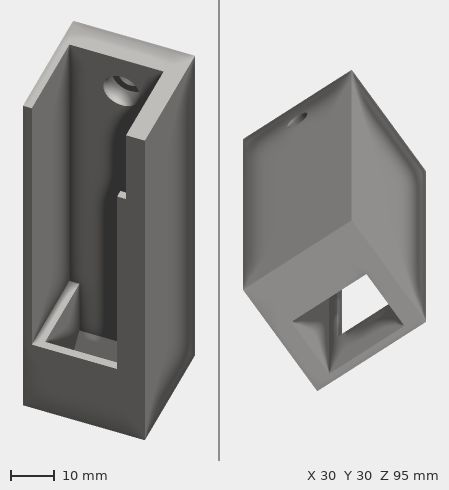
import cadquery as cq

width = 30.0
depth = 30.0
height = 95.0

base_height = 20.0

left_wall = 2.2
right_wall = 4.7
back_wall = 7.5
right_lip = 2.2
lip_depth = 2.0
lip_drop = 20.2

passage_left = 4.7
passage_front = 2.0
ramp_leg = 5.2

hole_diameter = 5.5
head_diameter = 9.0
head_depth = 5.0
hole_drop = 10.0

inner_right = width - right_wall
chamber_back = depth - back_wall


def box(x0, x1, y0, y1, z0, z1):
    """Box between opposite corners."""
    return cq.Workplane("XY").box(x1 - x0, y1 - y0, z1 - z0, centered=False).translate((x0, y0, z0))


def make_chamber():
    """Space open at the front and top, less the lip on the right wall."""
    chamber = box(left_wall, inner_right, 0, chamber_back, base_height, height)
    lip = box(inner_right - right_lip, inner_right, 0, lip_depth, base_height, height - lip_drop)
    return chamber.cut(lip)


def make_passage():
    """Passage through the base with a ramp rising toward its back face."""
    profile = [
        (passage_front, 0),
        (chamber_back - ramp_leg, 0),
        (chamber_back, ramp_leg),
        (chamber_back, base_height),
        (passage_front, base_height),
    ]
    return (
        cq.Workplane("YZ", origin=(passage_left, 0, 0))
        .polyline(profile).close()
        .extrude(inner_right - passage_left)
    )


def make_screw_hole():
    """Through hole with a counterbore opening into the chamber."""
    center = (width / 2, chamber_back, height - hole_drop)
    plane = cq.Workplane("XZ", origin=center)
    shank = plane.circle(hole_diameter / 2).extrude(-back_wall)
    head = plane.circle(head_diameter / 2).extrude(-head_depth)
    return shank.union(head)


block = box(0, width, 0, depth, 0, height)
result = block.cut(make_chamber()).cut(make_passage()).cut(make_screw_hole())